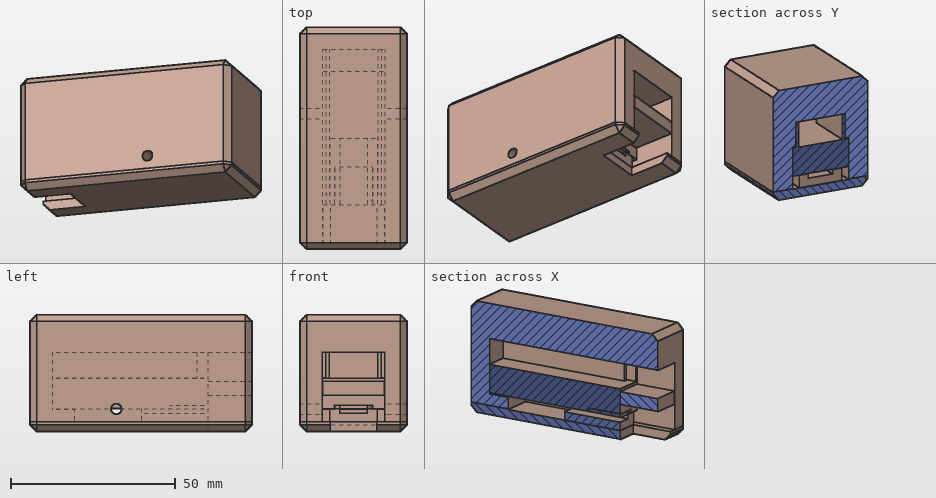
import cadquery as cq

LENGTH = 67.45
WIDTH = 32.5
HEIGHT = 35.5
EDGE_CHAMFER = 2.0
FRONT_Y = -LENGTH / 2

BASE_THICKNESS = 2.9
BASE_SLOT_WIDTH = 14.15
BASE_SLOT_LENGTH = 13.5

TUNNEL_WIDTH = 19.0
TUNNEL_TOP = 24.15
WALL_THICKNESS = (WIDTH - TUNNEL_WIDTH) / 2
TUNNEL_BACK_Y = LENGTH / 2 - WALL_THICKNESS
SLIDE_CLEARANCE = 0.2

CROSS_HOLE_DIAMETER = 3.2
CROSS_HOLE_Y = 7.5
CROSS_HOLE_Z = 6.9

CARRIAGE_BOTTOM = 6.95
CARRIAGE_SHOULDER = 16.1
CARRIAGE_FRONT_Y = FRONT_Y + BASE_SLOT_LENGTH
UPRIGHT_OUTER_WIDTH = 16.9
UPRIGHT_INNER_WIDTH = 14.85
UPRIGHT_SETBACK = 3.4
UPRIGHT_FRONT_Y = CARRIAGE_FRONT_Y + UPRIGHT_SETBACK
RAIL_WIDTH = (TUNNEL_WIDTH - UPRIGHT_OUTER_WIDTH) / 2
RAIL_BOTTOM = CARRIAGE_SHOULDER + SLIDE_CLEARANCE

SHELF_LENGTH = 6.75
SHELF_TOP = CARRIAGE_BOTTOM - SLIDE_CLEARANCE

TONGUE_WIDTH = 18.6
TONGUE_BOTTOM = 11.05
TONGUE_TOP = 15.25

KEEPER_WIDTH = 14.6
KEEPER_LENGTH = 20.25
GROOVE_WIDTH = 8.2
GROOVE_BOTTOM = 5.5

STOP_WIDTH = 11.5
STOP_LENGTH = STOP_WIDTH
STOP_TOP = 8.0
STOP_CHAMFER = 1.6
STOP_SIDE_GAP = 0.15


def block(width, y_front, y_back, z_bottom, z_top, x_center=0.0):
    """Box given by its width and its limits along Y and Z."""
    size = (width, y_back - y_front, z_top - z_bottom)
    corner = (x_center - width / 2, y_front, z_bottom)
    return cq.Workplane("XY").box(*size, centered=False).translate(corner)


def chamfered_envelope():
    """Outer block with every edge chamfered."""
    return block(WIDTH, FRONT_Y, LENGTH / 2, 0, HEIGHT).edges().chamfer(EDGE_CHAMFER)


def make_housing():
    above_base = block(WIDTH, FRONT_Y, LENGTH / 2, BASE_THICKNESS, HEIGHT)
    shell = chamfered_envelope().intersect(above_base)
    shell = shell.cut(block(TUNNEL_WIDTH, FRONT_Y, TUNNEL_BACK_Y, BASE_THICKNESS, TUNNEL_TOP))

    rail_x = (TUNNEL_WIDTH - RAIL_WIDTH) / 2
    for side in (-1, 1):
        rail = block(RAIL_WIDTH, CARRIAGE_FRONT_Y, TUNNEL_BACK_Y, RAIL_BOTTOM, TUNNEL_TOP, side * rail_x)
        shell = shell.union(rail)

    shelf_front_y = TUNNEL_BACK_Y - SHELF_LENGTH
    shell = shell.union(block(TUNNEL_WIDTH, shelf_front_y, TUNNEL_BACK_Y, BASE_THICKNESS, SHELF_TOP))

    cross_hole = (
        cq.Workplane("YZ")
        .center(CROSS_HOLE_Y, CROSS_HOLE_Z)
        .circle(CROSS_HOLE_DIAMETER / 2)
        .extrude(WIDTH / 2, both=True)
    )
    return shell.cut(cross_hole)


def make_base():
    plate = chamfered_envelope().intersect(block(WIDTH, FRONT_Y, LENGTH / 2, 0, BASE_THICKNESS))
    return plate.cut(block(BASE_SLOT_WIDTH, FRONT_Y, FRONT_Y + BASE_SLOT_LENGTH, 0, BASE_THICKNESS))


def make_carriage():
    body = block(TUNNEL_WIDTH, CARRIAGE_FRONT_Y, TUNNEL_BACK_Y, CARRIAGE_BOTTOM, CARRIAGE_SHOULDER)
    upper = block(UPRIGHT_OUTER_WIDTH, UPRIGHT_FRONT_Y, TUNNEL_BACK_Y, CARRIAGE_SHOULDER, TUNNEL_TOP)
    channel = block(UPRIGHT_INNER_WIDTH, UPRIGHT_FRONT_Y, TUNNEL_BACK_Y, CARRIAGE_SHOULDER, TUNNEL_TOP)
    stop_recess = block(
        STOP_WIDTH + 2 * STOP_SIDE_GAP,
        CARRIAGE_FRONT_Y,
        CARRIAGE_FRONT_Y + STOP_LENGTH,
        CARRIAGE_BOTTOM,
        STOP_TOP,
    )
    return body.union(upper.cut(channel)).cut(stop_recess)


def make_tongue():
    return block(TONGUE_WIDTH, FRONT_Y, CARRIAGE_FRONT_Y, TONGUE_BOTTOM, TONGUE_TOP)


def make_keeper():
    back_y = CARRIAGE_FRONT_Y + KEEPER_LENGTH
    body = block(KEEPER_WIDTH, CARRIAGE_FRONT_Y, back_y, BASE_THICKNESS, CARRIAGE_BOTTOM)
    return body.cut(block(GROOVE_WIDTH, CARRIAGE_FRONT_Y, back_y, GROOVE_BOTTOM, CARRIAGE_BOTTOM))


def make_stop():
    back_y = CARRIAGE_FRONT_Y + STOP_LENGTH
    plate = block(STOP_WIDTH, CARRIAGE_FRONT_Y, back_y, CARRIAGE_BOTTOM, STOP_TOP)
    return plate.edges("|Z and <Y").chamfer(STOP_CHAMFER)


housing = make_housing()
base = make_base()
carriage = make_carriage()
tongue = make_tongue()
keeper = make_keeper()
stop = make_stop()

result = cq.Compound.makeCompound(
    [housing.val(), base.val(), carriage.val(), tongue.val(), keeper.val(), stop.val()]
)